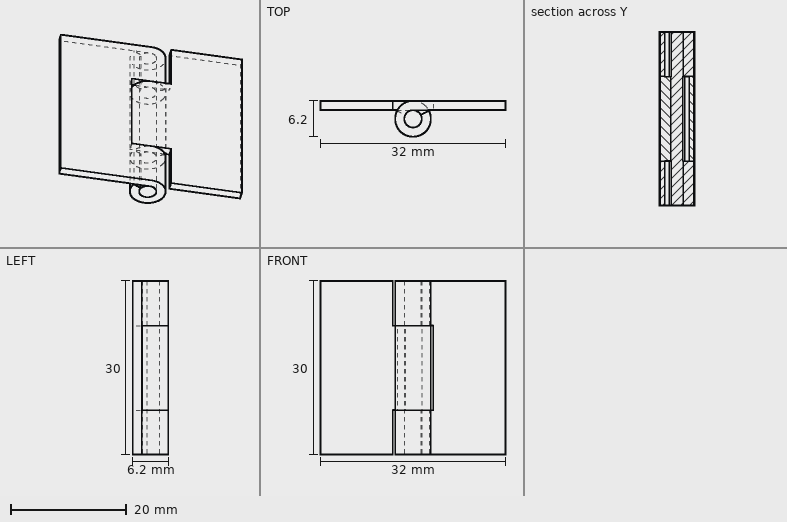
import cadquery as cq
import math

HINGE_WIDTH = 32.0
HINGE_HEIGHT = 30.0
PIN_RADIUS = 1.5
SHEET_THICKNESS = 1.6
MIDDLE_KNUCKLE_HEIGHT = 14.6
KNUCKLE_CLEARANCE = 0.4
CURL_END_ANGLE = 27.0

KNUCKLE_RADIUS = PIN_RADIUS + SHEET_THICKNESS
NOTCH_REACH = KNUCKLE_RADIUS + KNUCKLE_CLEARANCE
LEAF_REACH = HINGE_WIDTH / 2
END_KNUCKLE_HEIGHT = (HINGE_HEIGHT - MIDDLE_KNUCKLE_HEIGHT) / 2


def point_at(radius, angle):
    """Point at a radius and an angle in degrees around the pin axis."""
    return (radius * math.cos(math.radians(angle)), radius * math.sin(math.radians(angle)))


def rolled_sheet():
    """Full-height flat leaf toward +X whose edge is rolled around the pin."""
    return (
        cq.Workplane("XY", origin=(0, 0, -HINGE_HEIGHT / 2))
        .moveTo(LEAF_REACH, KNUCKLE_RADIUS)
        .lineTo(0, KNUCKLE_RADIUS)
        .threePointArc((0, -KNUCKLE_RADIUS), point_at(KNUCKLE_RADIUS, CURL_END_ANGLE))
        .lineTo(*point_at(PIN_RADIUS, CURL_END_ANGLE))
        .threePointArc((0, -PIN_RADIUS), (0, PIN_RADIUS))
        .lineTo(LEAF_REACH, PIN_RADIUS)
        .close()
        .extrude(HINGE_HEIGHT)
    )


def knuckle_clearance(height, center_z):
    """Block that clears the pin area for the knuckle of the opposite leaf."""
    return (
        cq.Workplane("XY")
        .box(2 * NOTCH_REACH, 2 * NOTCH_REACH, height)
        .translate((0, 0, center_z))
    )


def make_outer_leaf():
    """Leaf toward +X with a knuckle at each end."""
    return rolled_sheet().cut(knuckle_clearance(MIDDLE_KNUCKLE_HEIGHT, 0))


def make_middle_leaf():
    """Leaf toward -X with a single knuckle in the middle."""
    leaf = rolled_sheet().mirror("YZ")
    end_center = (HINGE_HEIGHT - END_KNUCKLE_HEIGHT) / 2
    for center_z in (-end_center, end_center):
        leaf = leaf.cut(knuckle_clearance(END_KNUCKLE_HEIGHT, center_z))
    return leaf


def make_pin():
    """Plain pin, flush with both ends of the hinge."""
    return (
        cq.Workplane("XY", origin=(0, 0, -HINGE_HEIGHT / 2))
        .circle(PIN_RADIUS)
        .extrude(HINGE_HEIGHT)
    )


outer_leaf = make_outer_leaf()
middle_leaf = make_middle_leaf()
pin = make_pin()

result = cq.Compound.makeCompound([outer_leaf.val(), middle_leaf.val(), pin.val()])